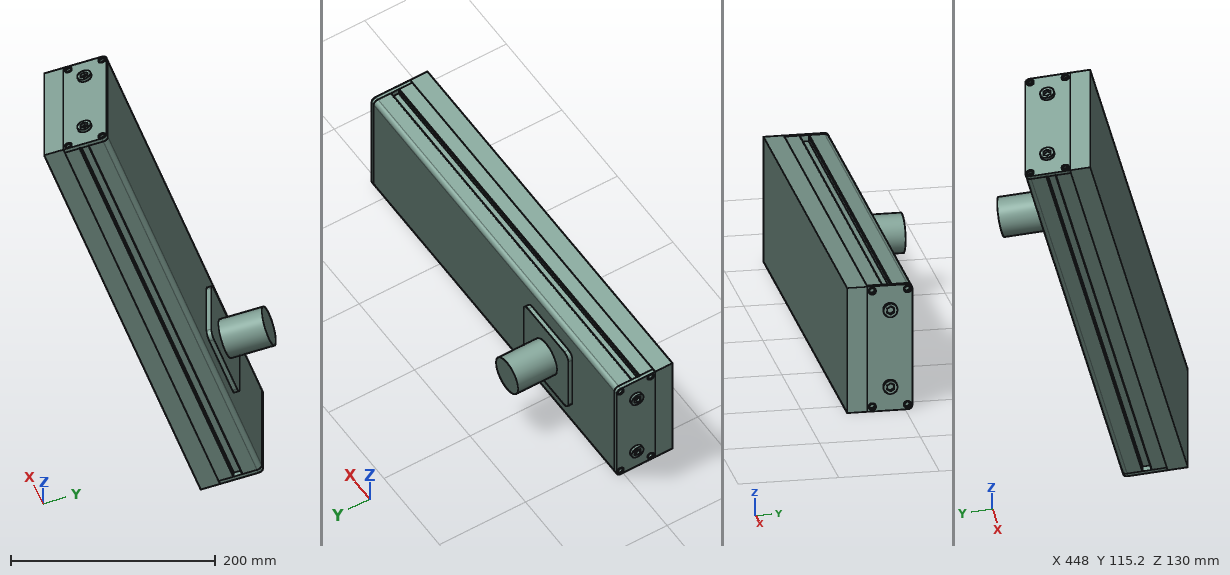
import cadquery as cq
import math

overall_length = 448.0
height = 130.0
boss_length = 3.0
body_length = overall_length - 2 * boss_length

cover_depth = 20.0
housing_depth = 45.0
end_plate_thickness = 4.0
back_edge_radius = 5.0

groove_back_offset = 20.0
groove_mouth_width = 9.5
groove_mouth_depth = 2.0
groove_slot_width = 8.0
groove_depth = 6.3

boss_diameter = 14.0
socket_width = 7.0
socket_depth = 3.0
boss_spacing = 79.7
screw_inset = 5.0
screw_recess_diameter = 7.0
screw_hole_diameter = 5.5
screw_recess_depth = 1.0

flange_size = 80.0
flange_thickness = 5.0
flange_corner_radius = 7.5
pipe_diameter = 40.0
pipe_length = 45.2
pipe_x = -101.2

housing_back = cover_depth + housing_depth
housing_center_y = cover_depth + housing_depth / 2
housing_length = body_length - 2 * end_plate_thickness
socket_corner_diameter = socket_width / math.cos(math.radians(30))
flange_back = housing_back + flange_thickness


def rear_rounded_block(length):
    """Block behind the cover, centred on X, with its two long rear edges rounded."""
    block = cq.Workplane("XY").box(length, housing_depth, height)
    block = block.translate((0, housing_center_y, 0))
    return block.edges("|X and >Y").fillet(back_edge_radius)


def make_cover():
    cover = cq.Workplane("XY").box(body_length, cover_depth, height)
    return cover.translate((0, cover_depth / 2, 0))


def make_housing():
    housing = rear_rounded_block(housing_length)
    groove_y = housing_back - groove_back_offset - groove_mouth_width / 2
    for side in (1, -1):
        for width, depth in ((groove_mouth_width, groove_mouth_depth), (groove_slot_width, groove_depth)):
            cutter = cq.Workplane("XY").box(housing_length, width, 2 * depth)
            housing = housing.cut(cutter.translate((0, groove_y, side * height / 2)))
    return housing


def make_end_plate(side):
    """End plate at the +X (side = 1) or -X (side = -1) end, with two socketed bosses and four screw holes."""
    plate_center_x = side * (housing_length + end_plate_thickness) / 2
    plate = rear_rounded_block(end_plate_thickness).translate((plate_center_x, 0, 0))

    outer_face_x = side * body_length / 2
    inner_face_x = side * housing_length / 2

    def cylinder(diameter, start_x, length, points):
        plane = cq.Workplane("YZ", origin=(start_x, 0, 0))
        return plane.pushPoints(points).circle(diameter / 2).extrude(side * length)

    boss_points = [(housing_center_y, z) for z in (-boss_spacing / 2, boss_spacing / 2)]
    plate = plate.union(cylinder(boss_diameter, outer_face_x, boss_length, boss_points))
    socket_plane = cq.Workplane("YZ", origin=(outer_face_x + side * (boss_length - socket_depth), 0, 0))
    for y, z in boss_points:
        socket = socket_plane.center(y, z).polygon(6, socket_corner_diameter)
        socket = socket.extrude(side * socket_depth)
        plate = plate.cut(socket.rotate((0, y, z), (1, y, z), 90))

    screw_z = height / 2 - screw_inset
    screw_points = [
        (y, z)
        for y in (cover_depth + screw_inset, housing_back - screw_inset)
        for z in (-screw_z, screw_z)
    ]
    recess_floor_x = outer_face_x - side * screw_recess_depth
    plate = plate.cut(cylinder(screw_recess_diameter, recess_floor_x, screw_recess_depth, screw_points))
    return plate.cut(cylinder(screw_hole_diameter, inner_face_x, end_plate_thickness, screw_points))


def make_pipe_flange():
    flange = cq.Workplane("XY").box(flange_size, flange_thickness, flange_size)
    flange = flange.edges("|Y").fillet(flange_corner_radius)
    flange = flange.translate((pipe_x, housing_back + flange_thickness / 2, 0))
    pipe = cq.Workplane("XZ", origin=(pipe_x, flange_back, 0)).circle(pipe_diameter / 2).extrude(-pipe_length)
    return flange.union(pipe)


cover = make_cover()
housing = make_housing()
end_plates = [make_end_plate(side) for side in (-1, 1)]
pipe_flange = make_pipe_flange()

result = cq.Compound.makeCompound(
    [cover.val(), housing.val(), *[plate.val() for plate in end_plates], pipe_flange.val()]
)